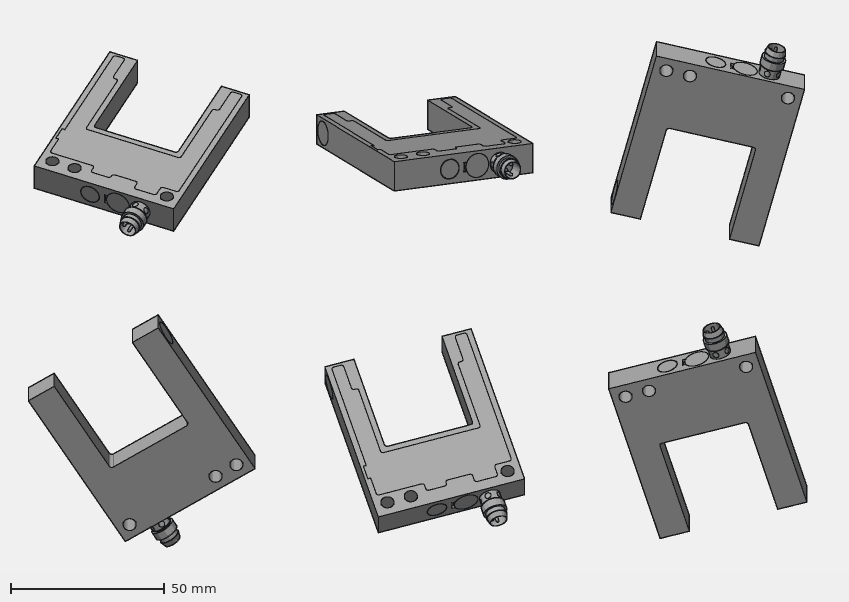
import cadquery as cq
import math

housing_width = 50.0
housing_length = 60.0
housing_height = 10.0
mid_height = housing_height / 2
half_width = housing_width / 2

slot_width = 30.0
slot_floor_y = 25.0
slot_corner_radius = 1.0

mount_hole_diameter = 4.3
mount_hole_inset = 4.5
mount_hole_spacing = 8.0

cover_thickness = 1.0
cover_wall = 1.95
cover_end_margin = 1.0
cover_corner_radius = 0.85
cover_arm_tip_width = 4.0
cover_arm_step_y = 48.9
cover_front_y = 8.0
key_depth = 1.0
key_width = 5.0
key_center_y = 17.5
small_lug_left_x = -7.0
small_lug_right_x = 0.0
small_lug_y = 5.0
lug_bridge_y = 6.9
large_lug_left_x = 9.1
large_lug_y = 3.6

cap_depth = 1.0
side_cap_diameter = 8.0
side_cap_hole_diameter = 8.1
side_cap_y = housing_length - 5.0
small_cap_diameter = 6.5
small_cap_hole_diameter = 6.7
small_cap_x = -5.0
large_cap_diameter = 8.1
large_cap_x = 5.0
keyway_reach = 4.8
keyway_height = 3.2

connector_x = 13.0
connector_length = 10.0
neck_diameter = 7.0
neck_end = 3.1
groove_diameter = 6.5
flange_diameter = 8.0
flange_start = 3.5
flange_end = 6.3
lip_diameter = 7.0
lip_start = 8.05
tip_diameter = 5.8
bore_diameter = 5.5

light_ring_inner_diameter = 4.8
light_ring_length = 3.0
window_diameter = 2.0
window_count = 5
window_offset = 1.6

insert_face = 4.2
pin_diameter = 1.0
pin_length = 5.1
pin_tip_diameter = 0.01
pin_circle_radius = 1.75
pin_angles = (90, 180, 270)


def front_cylinder(x, z, diameter, start, end):
    """Cylinder along Y, measured outwards (-Y) from the front face."""
    return cq.Workplane("XZ", origin=(x, -start, z)).circle(diameter / 2).extrude(end - start)


def side_cylinder(y, z, diameter, depth):
    """Cylinder sunk into the -X side of the housing."""
    return cq.Workplane("YZ", origin=(-half_width, y, z)).circle(diameter / 2).extrude(depth)


def make_cover():
    outer_x = half_width - cover_wall
    inner_x = slot_width / 2 + cover_wall
    arm_tip_x = outer_x - cover_arm_tip_width
    rear_y = housing_length - cover_end_margin
    web_y = slot_floor_y - cover_wall
    outline = [
        (-outer_x, rear_y),
        (-arm_tip_x, rear_y),
        (-arm_tip_x, cover_arm_step_y),
        (-inner_x, cover_arm_step_y),
        (-inner_x, web_y),
        (inner_x, web_y),
        (inner_x, cover_arm_step_y),
        (arm_tip_x, cover_arm_step_y),
        (arm_tip_x, rear_y),
        (outer_x, rear_y),
        (outer_x, cover_front_y),
        (inner_x, cover_front_y),
        (inner_x, large_lug_y),
        (large_lug_left_x, large_lug_y),
        (large_lug_left_x, lug_bridge_y),
        (small_lug_right_x, lug_bridge_y),
        (small_lug_right_x, small_lug_y),
        (small_lug_left_x, small_lug_y),
        (small_lug_left_x, cover_front_y),
        (-outer_x, cover_front_y),
    ]
    bottom_z = housing_height - cover_thickness
    plate = (
        cq.Workplane("XY", origin=(0, 0, bottom_z))
        .polyline(outline)
        .close()
        .extrude(cover_thickness)
        .edges("|Z")
        .fillet(cover_corner_radius)
    )
    key = cq.Workplane("XY").box(key_depth, key_width, cover_thickness, centered=(False, True, False))
    return plate.union(key.translate((-outer_x - key_depth, key_center_y, bottom_z)))


def make_housing(cover):
    block = cq.Workplane("XY").box(
        housing_width, housing_length, housing_height, centered=(True, False, False)
    )
    slot_length = housing_length - slot_floor_y
    slot = (
        cq.Workplane("XY")
        .box(slot_width, slot_length, housing_height, centered=(True, False, False))
        .translate((0, slot_floor_y, 0))
        .edges("|Z and <Y")
        .fillet(slot_corner_radius)
    )
    outer_hole_x = half_width - mount_hole_inset
    hole_points = [
        (-outer_hole_x, mount_hole_inset),
        (-outer_hole_x + mount_hole_spacing, mount_hole_inset),
        (outer_hole_x, mount_hole_inset),
    ]
    mount_holes = (
        cq.Workplane("XY").pushPoints(hole_points).circle(mount_hole_diameter / 2).extrude(housing_height)
    )
    side_cap_hole = side_cylinder(side_cap_y, mid_height, side_cap_hole_diameter, cap_depth)
    small_cap_hole = front_cylinder(small_cap_x, mid_height, small_cap_hole_diameter, -cap_depth, 0)
    large_cap_hole = front_cylinder(large_cap_x, mid_height, large_cap_diameter, -cap_depth, 0)
    keyway = (
        cq.Workplane("XY")
        .box(keyway_reach, cap_depth, keyway_height, centered=(False, False, True))
        .translate((large_cap_x - keyway_reach, 0, mid_height))
    )
    return (
        block.cut(slot)
        .cut(mount_holes)
        .cut(cover)
        .cut(side_cap_hole)
        .cut(small_cap_hole)
        .cut(large_cap_hole)
        .cut(keyway)
    )


def make_light_ring():
    """Ring with round studs, the first towards -X, whose ends follow the outside of the neck."""
    ring = front_cylinder(0, 0, bore_diameter, 0, light_ring_length)
    for index in range(window_count):
        stud = (
            cq.Workplane("YZ", origin=(0, -window_offset, 0))
            .circle(window_diameter / 2)
            .extrude(neck_diameter)
            .rotate((0, 0, 0), (0, 1, 0), 180 + index * 360 / window_count)
        )
        ring = ring.union(stud)
    neck_envelope = front_cylinder(0, 0, neck_diameter, 0, neck_end)
    core = front_cylinder(0, 0, light_ring_inner_diameter, 0, light_ring_length)
    return ring.intersect(neck_envelope).cut(core).translate((connector_x, 0, mid_height))


def make_connector(light_ring):
    """Turned shell: neck, groove, flange, barrel and tapered lip, with a bore right through."""
    profile = [
        (bore_diameter / 2, 0),
        (neck_diameter / 2, 0),
        (neck_diameter / 2, -neck_end),
        (groove_diameter / 2, -neck_end),
        (groove_diameter / 2, -flange_start),
        (flange_diameter / 2, -flange_start),
        (flange_diameter / 2, -flange_end),
        (groove_diameter / 2, -flange_end),
        (groove_diameter / 2, -lip_start),
        (lip_diameter / 2, -lip_start),
        (tip_diameter / 2, -connector_length),
        (bore_diameter / 2, -connector_length),
    ]
    shell = cq.Workplane("XY").polyline(profile).close().revolve(360, (0, 0, 0), (0, 1, 0))
    return shell.translate((connector_x, 0, mid_height)).cut(light_ring)


def make_contact_insert():
    """Plug with a core inside the light ring and domed pins standing in the bore."""
    core = front_cylinder(connector_x, mid_height, light_ring_inner_diameter, 0, light_ring_length)
    plug = front_cylinder(connector_x, mid_height, bore_diameter, light_ring_length, insert_face)
    insert = core.union(plug)
    dome_radius = (pin_diameter - pin_tip_diameter) / 2
    for angle in pin_angles:
        pin_x = connector_x + pin_circle_radius * math.cos(math.radians(angle))
        pin_z = mid_height + pin_circle_radius * math.sin(math.radians(angle))
        pin = front_cylinder(pin_x, pin_z, pin_diameter, insert_face, insert_face + pin_length)
        insert = insert.union(pin.faces("<Y").edges().fillet(dome_radius))
    return insert


cover = make_cover()
housing = make_housing(cover)
side_cap = side_cylinder(side_cap_y, mid_height, side_cap_diameter, cap_depth)
small_cap = front_cylinder(small_cap_x, mid_height, small_cap_diameter, -cap_depth, 0)
large_cap = front_cylinder(large_cap_x, mid_height, large_cap_diameter, -cap_depth, 0)
light_ring = make_light_ring()
connector = make_connector(light_ring)
contact_insert = make_contact_insert()

result = cq.Compound.makeCompound(
    [
        housing.val(),
        cover.val(),
        side_cap.val(),
        small_cap.val(),
        large_cap.val(),
        connector.val(),
        light_ring.val(),
        contact_insert.val(),
    ]
)